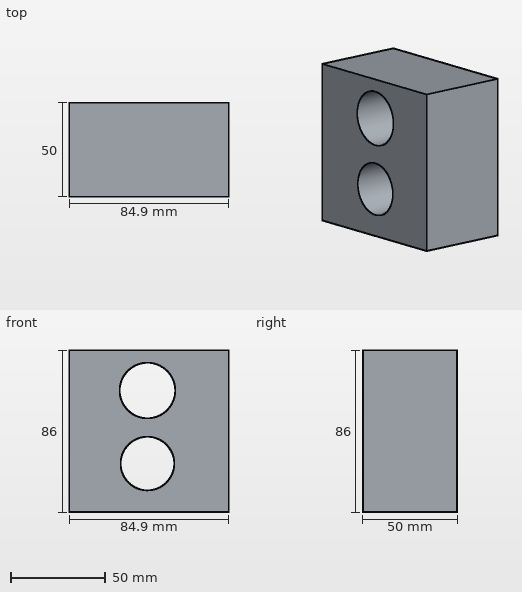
import cadquery as cq

width = 84.9
depth = 50.0
height = 86.0

hole_x = 41.6
upper_diameter = 29.4
upper_z = 64.6
lower_diameter = 28.4
lower_z = 25.8


def through_hole(diameter, z):
    """Cylinder along Y that spans the full depth of the block."""
    return (
        cq.Workplane("XZ")
        .center(hole_x, z)
        .circle(diameter / 2)
        .extrude(-depth)
    )


block = cq.Workplane("XY").box(width, depth, height, centered=False)
result = (
    block
    .cut(through_hole(upper_diameter, upper_z))
    .cut(through_hole(lower_diameter, lower_z))
)